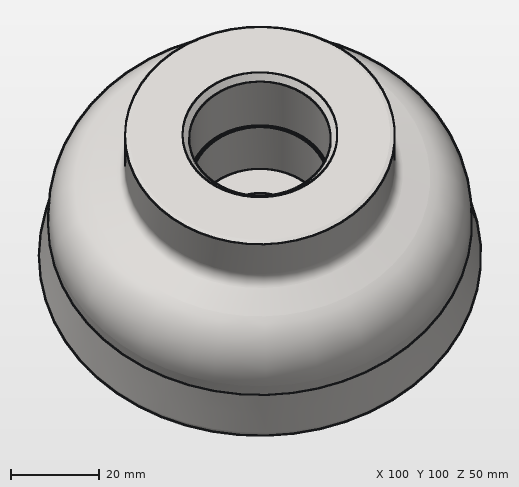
import cadquery as cq
import math

total_height = 50.0
outer_radius = 50.0

flare_angle = math.radians(10)
rim_fillet = 2.0
foot_radius = 38.2
dome_radius = 95.8 / 2

dome_start = 19.1
dome_arc = 15.0
shoulder_angle = math.radians(22)
neck_radius = 61.0 / 2
neck_fillet = 3.0
neck_chamfer_width = 1.0
neck_chamfer_height = 0.3

hole_radius = 17.5 / 2
bore_radius = 32.0 / 2
bore_depth = 18.2
bore_mouth_radius = 35.0 / 2
bore_mouth_depth = 1.5
lower_bore_radius = 31.0 / 2

rim_center_r = outer_radius - rim_fillet
flank_start_r = rim_center_r + rim_fillet * math.cos(flare_angle)
underside_end_r = rim_center_r + rim_fillet * math.sin(flare_angle)
underside_end_z = (underside_end_r - foot_radius) * math.tan(flare_angle)
rim_center_z = underside_end_z + rim_fillet * math.cos(flare_angle)
flank_start_z = rim_center_z + rim_fillet * math.sin(flare_angle)

split_height = flank_start_z + (flank_start_r - dome_radius) / math.tan(flare_angle)


def arc_point(center_r, center_z, radius, angle):
    """Point on an arc in the radial plane, with the angle measured from outwards."""
    return (center_r + radius * math.cos(angle), center_z + radius * math.sin(angle))


def make_base():
    """Flared ring with a flat top, a rounded rim and the central through hole."""
    middle_angle = flare_angle - math.pi / 4
    rim_middle = arc_point(rim_center_r, rim_center_z, rim_fillet, middle_angle)
    return (
        cq.Workplane("XZ")
        .moveTo(hole_radius, 0)
        .lineTo(foot_radius, 0)
        .lineTo(underside_end_r, underside_end_z)
        .threePointArc(rim_middle, (flank_start_r, flank_start_z))
        .lineTo(dome_radius, split_height)
        .lineTo(hole_radius, split_height)
        .close()
        .revolve(360, (0, 0, 0), (0, 1, 0))
    )


def make_housing():
    """Domed body with a neck and a chamfered, stepped bore that opens onto the base."""
    dome_end_angle = math.pi / 2 - shoulder_angle
    dome_center_r = dome_radius - dome_arc
    dome_middle = arc_point(dome_center_r, dome_start, dome_arc, dome_end_angle / 2)
    dome_end = arc_point(dome_center_r, dome_start, dome_arc, dome_end_angle)

    fillet_center_r = neck_radius + neck_fillet
    shoulder_end_r = fillet_center_r - neck_fillet * math.sin(shoulder_angle)
    shoulder_end_z = dome_end[1] + (dome_end[0] - shoulder_end_r) * math.tan(shoulder_angle)
    fillet_center_z = shoulder_end_z + neck_fillet * math.cos(shoulder_angle)
    fillet_middle_angle = math.pi + dome_end_angle / 2
    fillet_middle = arc_point(fillet_center_r, fillet_center_z, neck_fillet, fillet_middle_angle)

    ledge_height = total_height - bore_depth
    return (
        cq.Workplane("XZ")
        .moveTo(lower_bore_radius, split_height)
        .lineTo(dome_radius, split_height)
        .lineTo(dome_radius, dome_start)
        .threePointArc(dome_middle, dome_end)
        .lineTo(shoulder_end_r, shoulder_end_z)
        .threePointArc(fillet_middle, (neck_radius, fillet_center_z))
        .lineTo(neck_radius, total_height - neck_chamfer_height)
        .lineTo(neck_radius - neck_chamfer_width, total_height)
        .lineTo(bore_mouth_radius, total_height)
        .lineTo(bore_radius, total_height - bore_mouth_depth)
        .lineTo(bore_radius, ledge_height)
        .lineTo(lower_bore_radius, ledge_height)
        .lineTo(lower_bore_radius, split_height)
        .close()
        .revolve(360, (0, 0, 0), (0, 1, 0))
    )


base = make_base()
housing = make_housing()
result = cq.Compound.makeCompound([base.val(), housing.val()])